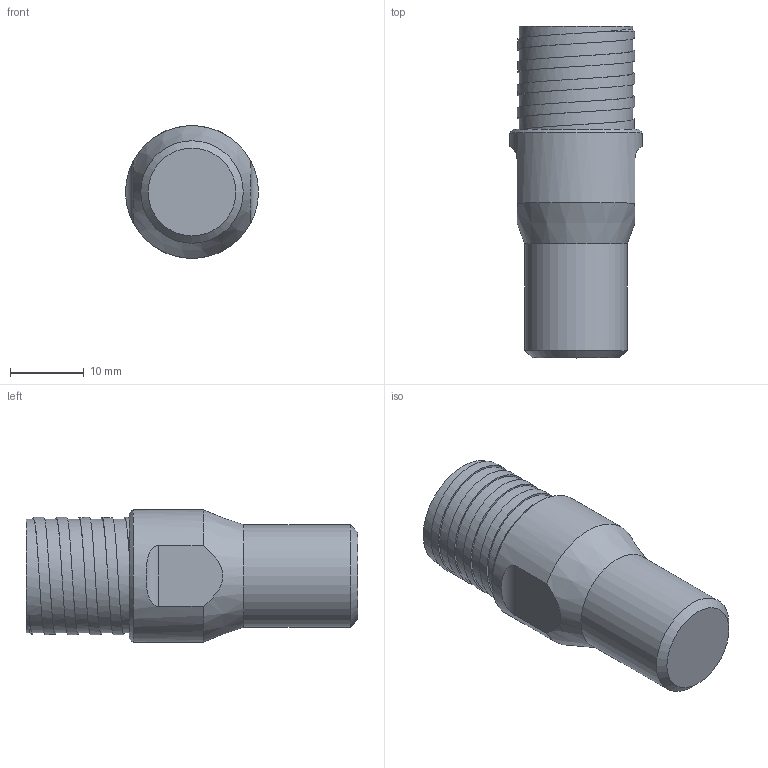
import cadquery as cq
import math


pin_end = 15.5
taper_end = 21.0
collar_end = 31.0
total_length = 45.0

pin_diameter = 13.9
collar_diameter = 18.0
thread_core_diameter = 15.4
thread_crest_diameter = 15.9

pin_chamfer = 1.0
collar_chamfer = 0.5

flat_width = 16.0
flat_runout_start = 27.0
flat_runout_radius = 2.0

thread_pitch = 3.1
ridge_width = 1.4
thread_start = 27.8
thread_end_gap = 0.7
ridge_embed = 0.3

pin_radius = pin_diameter / 2
collar_radius = collar_diameter / 2
core_radius = thread_core_diameter / 2
crest_radius = thread_crest_diameter / 2


def make_body():
    """Revolve the stepped outline, thread core included."""
    outline = [
        (0, 0),
        (pin_radius - pin_chamfer, 0),
        (pin_radius, pin_chamfer),
        (pin_radius, pin_end),
        (collar_radius, taper_end),
        (collar_radius, collar_end - collar_chamfer),
        (collar_radius - collar_chamfer, collar_end),
        (core_radius, collar_end),
        (core_radius, total_length),
        (0, total_length),
    ]
    return cq.Workplane("XY").polyline(outline).close().revolve(360, (0, 0), (0, 1))


def make_flat_cutter(side):
    """Cutter for one flat (side = +1 or -1), ending in a concave arc towards the thread."""
    flat_x = flat_width / 2
    outer_x = flat_x + flat_runout_radius
    arc_shift = flat_runout_radius * math.sqrt(0.5)
    arc_middle = (side * (outer_x - arc_shift), flat_runout_start + arc_shift)
    arc_end = (side * outer_x, flat_runout_start + flat_runout_radius)
    return (
        cq.Workplane("XY")
        .moveTo(side * flat_x, pin_end)
        .lineTo(side * flat_x, flat_runout_start)
        .threePointArc(arc_middle, arc_end)
        .lineTo(side * outer_x, pin_end)
        .close()
        .extrude(collar_radius, both=True)
    )


def make_thread_ridge():
    """Sweep the ridge about Z, lay it along +Y starting at its +Z side, and bevel its far end."""
    inner_radius = core_radius - ridge_embed
    sweep_length = total_length + thread_pitch - thread_start
    helix = cq.Workplane(obj=cq.Wire.makeHelix(thread_pitch, sweep_length, core_radius))
    ridge = (
        cq.Workplane("XZ")
        .center((inner_radius + crest_radius) / 2, 0)
        .rect(crest_radius - inner_radius, ridge_width)
        .sweep(helix, isFrenet=True)
        .rotate((0, 0, 0), (0, 0, 1), -90)
        .rotate((0, 0, 0), (1, 0, 0), -90)
        .translate((0, thread_start, 0))
    )
    crest_stop = total_length - thread_end_gap
    envelope = (
        cq.Workplane("XY")
        .polyline([
            (0, taper_end),
            (collar_radius, taper_end),
            (collar_radius, crest_stop + crest_radius - collar_radius),
            (0, crest_stop + crest_radius),
        ])
        .close()
        .revolve(360, (0, 0), (0, 1))
    )
    return ridge.intersect(envelope)


body = make_body()
for side in (1, -1):
    body = body.cut(make_flat_cutter(side))

result = body.union(make_thread_ridge())